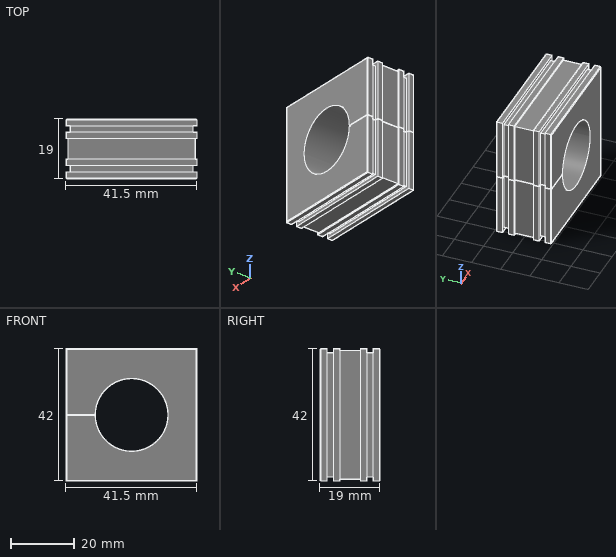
import cadquery as cq

width = 41.5
depth = 19.0
height = 42.0
edge_chamfer = 0.25

rib_thickness = 2.0
seal_groove_width = 2.0
seal_groove_depth = 1.25
middle_band_width = 6.55
middle_band_depth = 0.5

bore_diameter = 23.0
slit_width = 0.15

seal_groove_offset = middle_band_width / 2 + rib_thickness + seal_groove_width / 2


def ring_groove(center_y, groove_width, groove_depth):
    """Rectangular ring removed from the outer sides of the block."""
    outer = cq.Workplane("XY").box(width, groove_width, height)
    core = cq.Workplane("XY").box(
        width - 2 * groove_depth, groove_width, height - 2 * groove_depth
    )
    return outer.cut(core).translate((0, center_y, 0))


block = cq.Workplane("XY").box(width, depth, height)
block = block.faces("<Y or >Y").edges().chamfer(edge_chamfer)

block = block.cut(ring_groove(0, middle_band_width, middle_band_depth))
for side in (-1, 1):
    block = block.cut(
        ring_groove(side * seal_groove_offset, seal_groove_width, seal_groove_depth)
    )

bore = cq.Workplane("XZ").circle(bore_diameter / 2).extrude(depth / 2, both=True)

slit = cq.Workplane("XY").box(width / 2, depth, slit_width).translate((-width / 4, 0, 0))

result = block.cut(bore).cut(slit)